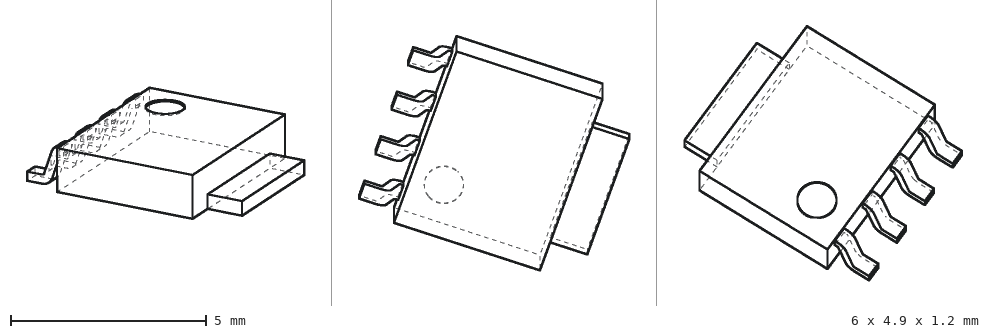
import cadquery as cq
import math

overall_length = 6.0
body_width = 4.9
body_height = 1.2

tab_length = 1.0
tab_width = 3.3
tab_height = 0.4

lead_count = 4
lead_pitch = 1.27
lead_width = 0.425
lead_thickness = 0.25
lead_reach = 1.055
lead_top = 1.13
foot_flat = 0.445
shoulder_flat = 0.065
inner_bend_radius = 0.05
outer_bend_radius = inner_bend_radius + lead_thickness

mark_diameter = 1.0
mark_inset = 1.0
mark_depth = 0.05

body_length = overall_length - lead_reach - tab_length
body_end = lead_reach + body_length


def make_body():
    block = cq.Workplane("XY").box(body_length, body_width, body_height, centered=(False, True, False))
    block = block.translate((lead_reach, 0, 0))
    mark = (
        cq.Workplane("XY", origin=(0, 0, body_height - mark_depth))
        .center(lead_reach + mark_inset, body_width / 2 - mark_inset)
        .circle(mark_diameter / 2)
        .extrude(mark_depth)
    )
    return block.cut(mark)


def make_tab():
    tab = cq.Workplane("XY").box(tab_length, tab_width, tab_height, centered=(False, True, False))
    return tab.translate((body_end, 0, 0))


def make_lead(y_center):
    """Gull-wing lead: a bent strip of constant thickness, resting on Z = 0."""
    mean_radius = (inner_bend_radius + outer_bend_radius) / 2
    centers_run = lead_reach - foot_flat - shoulder_flat
    centers_rise = lead_top - lead_thickness - 2 * mean_radius
    centers_distance = math.hypot(centers_run, centers_rise)
    bend_angle = math.atan2(centers_rise, centers_run) + math.asin(2 * mean_radius / centers_distance)

    foot_center = (foot_flat, lead_thickness + inner_bend_radius)
    shoulder_center = (lead_reach - shoulder_flat, lead_top - outer_bend_radius)

    def foot_arc(radius, angle):
        return (foot_center[0] + radius * math.sin(angle), foot_center[1] - radius * math.cos(angle))

    def shoulder_arc(radius, angle):
        return (shoulder_center[0] - radius * math.sin(angle), shoulder_center[1] + radius * math.cos(angle))

    half_angle = bend_angle / 2
    profile = (
        cq.Workplane("XZ", origin=(0, y_center + lead_width / 2, 0))
        .moveTo(0, 0)
        .lineTo(foot_flat, 0)
        .threePointArc(foot_arc(outer_bend_radius, half_angle), foot_arc(outer_bend_radius, bend_angle))
        .lineTo(*shoulder_arc(inner_bend_radius, bend_angle))
        .threePointArc(shoulder_arc(inner_bend_radius, half_angle), shoulder_arc(inner_bend_radius, 0))
        .lineTo(lead_reach, lead_top - lead_thickness)
        .lineTo(lead_reach, lead_top)
        .lineTo(shoulder_center[0], lead_top)
        .threePointArc(shoulder_arc(outer_bend_radius, half_angle), shoulder_arc(outer_bend_radius, bend_angle))
        .lineTo(*foot_arc(inner_bend_radius, bend_angle))
        .threePointArc(foot_arc(inner_bend_radius, half_angle), foot_arc(inner_bend_radius, 0))
        .lineTo(0, lead_thickness)
        .close()
    )
    return profile.extrude(lead_width)


body = make_body()
tab = make_tab()
leads = []
for index in range(lead_count):
    lead_y = (index - (lead_count - 1) / 2) * lead_pitch
    leads.append(make_lead(lead_y).val())

result = cq.Compound.makeCompound([body.val(), tab.val(), *leads])